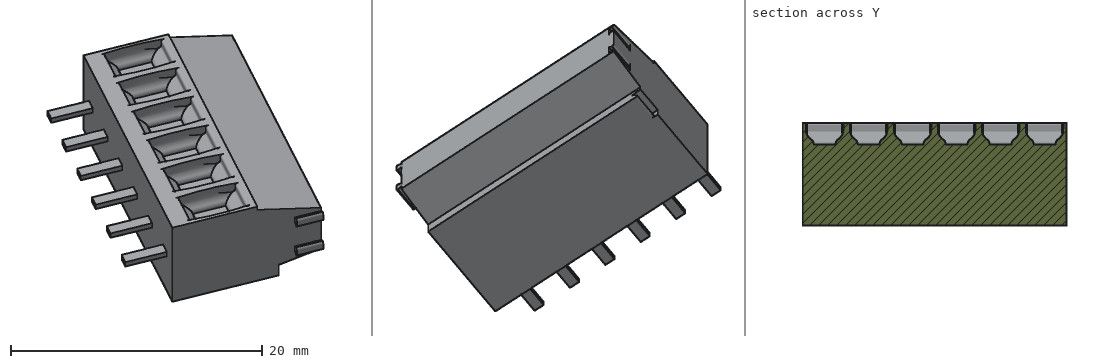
import cadquery as cq
import math

pole_count = 6
body_length = 21.0
body_depth = 12.6
body_height = 8.2
pole_pitch = body_length / pole_count

top_step_y = 7.18
top_step_drop = 0.35
back_top_z = 6.32
back_edge_radius = 0.15
back_bottom_z = 1.83
bottom_step_y = 9.0
bottom_step_z = 1.16

pin_length = 3.5
pin_width = 0.9
pin_thickness = 0.5

well_y = 4.05
well_depth = 1.72
well_slope = math.radians(36)
floor_half_x = 0.85
floor_half_y = 1.4
floor_edge_radius = 0.5
side_radius = 0.95
end_radius = 0.2
end_half_y = 2.39
mouth_radius = 0.22
mouth_end_half_x = 1.35
mouth_mid_width = 2.99
mouth_mid_half_x = mouth_mid_width / 2

overall_length = 21.5
coupling_length = 2.24
coupling_heights = (2.5, 5.7)
tab_reach = overall_length - body_length
tab_neck_x = 0.05
tab_neck_width = 0.55
tab_bulge_x = 0.32
tab_bulge_width = 0.88
tab_tip_radius = 0.28
groove_depth = 0.5
groove_neck_width = 0.67
groove_floor_width = 1.0
groove_lip_radius = 0.17

notch_length = 2.3
notch_mouth_z = 0.77
notch_inner_z = 0.69
notch_slope = math.radians(45)
notch_lip_depth = 0.35
notch_lip_radius = 0.138


def make_housing():
    return (
        cq.Workplane("YZ")
        .polyline([
            (0, 0),
            (bottom_step_y, 0),
            (bottom_step_y, bottom_step_z),
            (body_depth, back_bottom_z),
            (body_depth, back_top_z),
            (top_step_y, body_height - top_step_drop),
            (top_step_y, body_height),
            (0, body_height),
        ])
        .close()
        .extrude(body_length)
        .edges(cq.selectors.NearestToPointSelector((body_length / 2, body_depth, back_top_z)))
        .fillet(back_edge_radius)
    )


def make_pin(x):
    return (
        cq.Workplane("XY")
        .box(pin_width, pin_length, pin_thickness)
        .translate((x, -pin_length / 2, body_height / 2))
    )


def bend(radius, steep, shallow):
    """Run and rise of an arc that turns between two slopes."""
    run = radius * (math.sin(steep) - math.sin(shallow))
    rise = radius * (math.cos(shallow) - math.cos(steep))
    return run, rise


def funnel_section(plane, middle_plane, floor_half, wall_half, wall_radius, lip_radius=0):
    """Prism with the well's cross-section, centred on the plane's origin.

    Each side leaves the floor upright, leans over in a convex arc to the slope,
    turns upright in a concave arc and may flare out in a lip at the top.
    """
    upright = math.pi / 2
    floor_z = body_height - well_depth

    run, rise = bend(floor_edge_radius, upright, well_slope)
    slope_start = (floor_half + run, floor_z + rise)
    run, rise = bend(floor_edge_radius, upright, (upright + well_slope) / 2)
    floor_arc = (floor_half + run, floor_z + rise)

    run, rise = bend(wall_radius, upright, well_slope)
    slope_end_across = wall_half - run
    slope_end_z = slope_start[1] + (slope_end_across - slope_start[0]) * math.tan(well_slope)
    wall_z = slope_end_z + rise
    run, rise = bend(wall_radius, upright, (upright + well_slope) / 2)
    wall_arc = (wall_half - run, wall_z - rise)

    section = (
        cq.Workplane(plane)
        .moveTo(0, floor_z)
        .lineTo(floor_half, floor_z)
        .threePointArc(floor_arc, slope_start)
        .lineTo(slope_end_across, slope_end_z)
        .threePointArc(wall_arc, (wall_half, wall_z))
        .lineTo(wall_half, body_height - lip_radius)
    )
    if lip_radius:
        section = section.radiusArc((wall_half + lip_radius, body_height), lip_radius)
    half = section.lineTo(0, body_height).close().extrude(pole_pitch, both=True)
    return half.union(half.mirror(middle_plane))


def make_well():
    """Well centred on X = 0: the shape shared by its two cross-sections and its mouth."""
    mouth_half_y = end_half_y + mouth_radius
    mouth = (
        cq.Workplane("XY")
        .moveTo(-mouth_end_half_x, -mouth_half_y)
        .lineTo(mouth_end_half_x, -mouth_half_y)
        .threePointArc((mouth_mid_half_x, 0), (mouth_end_half_x, mouth_half_y))
        .lineTo(-mouth_end_half_x, mouth_half_y)
        .threePointArc((-mouth_mid_half_x, 0), (-mouth_end_half_x, -mouth_half_y))
        .close()
        .extrude(body_height)
    )
    across = funnel_section("XZ", "YZ", floor_half_x, mouth_mid_half_x, side_radius)
    along = funnel_section("YZ", "XZ", floor_half_y, end_half_y, end_radius, mouth_radius)
    return mouth.intersect(across).intersect(along).translate((0, well_y, 0))


def make_tab(z):
    """Dovetail tab with a rounded tip."""
    tip_depth = tab_reach - tab_bulge_x
    tip_drop = math.sqrt(tab_tip_radius**2 - (tab_tip_radius - tip_depth)**2)
    tip_half = tab_bulge_width / 2 - tip_drop
    half = (
        cq.Workplane("XZ", origin=(body_length, body_depth, z))
        .moveTo(-tab_neck_x, 0)
        .lineTo(-tab_neck_x, tab_neck_width / 2)
        .lineTo(tab_neck_x, tab_neck_width / 2)
        .lineTo(tab_bulge_x, tab_bulge_width / 2)
        .radiusArc((tab_reach, tip_half), tab_tip_radius)
        .lineTo(tab_reach, 0)
        .close()
        .extrude(coupling_length)
    )
    return half.union(half.mirror("XY", (0, 0, z)))


def make_groove(z):
    """Dovetail groove with rounded lips at its mouth."""
    neck_half = groove_neck_width / 2
    floor_half = groove_floor_width / 2
    half = (
        cq.Workplane("XZ", origin=(0, body_depth, z))
        .lineTo(0, neck_half + groove_lip_radius)
        .radiusArc((groove_lip_radius, neck_half), -groove_lip_radius)
        .lineTo(groove_depth, floor_half)
        .lineTo(groove_depth, 0)
        .close()
        .extrude(coupling_length)
    )
    return half.union(half.mirror("XY", (0, 0, z)))


def make_notch():
    """Undercut along the bottom edge of the -X end, with a rounded lip below it."""
    lip_centre_x = notch_lip_depth + notch_lip_radius
    across = notch_lip_radius * math.sin(notch_slope)
    lip_top_x = lip_centre_x - across
    lip_top_z = notch_lip_radius * (1 + math.cos(notch_slope))
    slope_end_x = lip_top_x + (notch_inner_z - lip_top_z) / math.tan(notch_slope)
    return (
        cq.Workplane("XZ", origin=(0, bottom_step_y, 0))
        .lineTo(lip_centre_x, 0)
        .threePointArc((notch_lip_depth, notch_lip_radius), (lip_top_x, lip_top_z))
        .lineTo(slope_end_x, notch_inner_z)
        .lineTo(0, notch_mouth_z)
        .close()
        .extrude(notch_length)
    )


part = make_housing()
well = make_well()
for pole in range(pole_count):
    pole_x = (pole + 0.5) * pole_pitch
    part = part.union(make_pin(pole_x))
    part = part.cut(well.translate((pole_x, 0, 0)))
for coupling_z in coupling_heights:
    part = part.union(make_tab(coupling_z))
    part = part.cut(make_groove(coupling_z))
result = part.cut(make_notch())